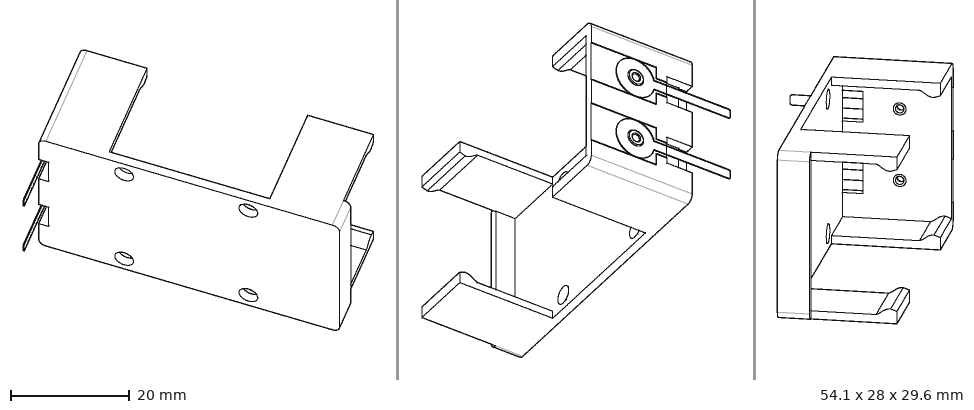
import cadquery as cq


LENGTH = 54.15
EYELET_PROUD = 0.2
DEPTH = 20.25
HEIGHT = 29.55
CORNER_RADIUS = 1.3
SIDE_WALL = 1.45
MOUNTING_WALL = 1.6
CONTACT_WALL = 1.6
LOW_END_DEPTH = 5.5
CUTOUT_START = 12.3
CUTOUT_END = 41.05
OUTER_X = EYELET_PROUD
INNER_X = OUTER_X + CONTACT_WALL
ARM_END_X = LENGTH - CORNER_RADIUS

LIP_EDGE = 2.2
LIP_CREST = 2.6
LIP_LEAD_IN = 1.1
LIP_LENGTH = 3.6
LIP_CREST_TANGENT = (-1, 0)
LIP_FOOT_TANGENT = (-1, 0.3)

MOUNT_HOLE_DIAMETER = 3.35
MOUNT_HOLE_XS = (15.55, 37.8)
MOUNT_HOLE_Z = 11.9

CONTACT_Z = 6.35
CONTACT_THICKNESS = 0.15
DISC_RADIUS = 3.85
DISC_Y = 11.35
TAIL_WIDTH = 1.85
TAIL_REACH = 7.7
TAIL_CORNER = 0.45
EYELET_RADIUS = 1.55
EYELET_EDGE = 0.15
BARREL_RADIUS = 1.1
BORE_RADIUS = 0.7

SEAT_END_Y = 7.2
NECK_WIDTH = 3.1
SLOT_WIDTH = 5.4
SLOT_DEPTH_X = 1.8
SLOT_END_Y = 5.1


def box_between(x_range, y_range, z_range):
    """Box spanning the three (low, high) ranges."""
    sizes = [high - low for low, high in (x_range, y_range, z_range)]
    corner = (x_range[0], y_range[0], z_range[0])
    return cq.Workplane("XY").box(*sizes, centered=False).translate(corner)


def band(x_range, y_range, width, z):
    """Box of the given width, centred on height z."""
    return box_between(x_range, y_range, (z - width / 2, z + width / 2))


def rod(radius, x_start, x_end, z):
    """Cylinder along X on a contact axis."""
    plane = cq.Plane(origin=(x_start, DISC_Y, z), xDir=(0, 1, 0), normal=(1, 0, 0))
    return cq.Workplane(plane).circle(radius).extrude(x_end - x_start)


def make_lip():
    """Lip that hooks inwards from the top wall, along the whole holder."""
    wall_z = HEIGHT / 2 - SIDE_WALL
    edge_z = HEIGHT / 2 - LIP_EDGE
    crest_z = HEIGHT / 2 - LIP_CREST
    crest_y = DEPTH - LIP_LEAD_IN
    foot_y = DEPTH - LIP_LENGTH
    return (
        cq.Workplane("YZ", origin=(INNER_X, 0, 0))
        .moveTo(DEPTH, wall_z)
        .lineTo(DEPTH, edge_z)
        .lineTo(crest_y, crest_z)
        .spline([(foot_y, wall_z)], tangents=[LIP_CREST_TANGENT, LIP_FOOT_TANGENT], includeCurrent=True)
        .close()
        .extrude(ARM_END_X - INNER_X)
    )


def make_housing():
    body = box_between((OUTER_X, LENGTH), (0, DEPTH), (-HEIGHT / 2, HEIGHT / 2))
    body = body.edges("|Y").fillet(CORNER_RADIUS)

    full_z = (-HEIGHT / 2, HEIGHT / 2)
    bay_z = (-HEIGHT / 2 + SIDE_WALL, HEIGHT / 2 - SIDE_WALL)
    body = body.cut(box_between((INNER_X, LENGTH - SIDE_WALL), (MOUNTING_WALL, DEPTH), bay_z))
    body = body.cut(box_between((INNER_X, LENGTH), (LOW_END_DEPTH, DEPTH), bay_z))
    body = body.cut(box_between((ARM_END_X, LENGTH), (LOW_END_DEPTH, DEPTH), full_z))

    lip = make_lip()
    body = body.union(lip).union(lip.mirror("XY"))

    body = body.cut(box_between((CUTOUT_START, CUTOUT_END), (MOUNTING_WALL, DEPTH), full_z))

    mount_holes = (
        cq.Workplane("XZ")
        .pushPoints([(x, z) for x in MOUNT_HOLE_XS for z in (-MOUNT_HOLE_Z, MOUNT_HOLE_Z)])
        .circle(MOUNT_HOLE_DIAMETER / 2)
        .extrude(-MOUNTING_WALL)
    )
    body = body.cut(mount_holes)

    for z in (-CONTACT_Z, CONTACT_Z):
        body = body.cut(make_contact_seat(z))
    return body


def make_contact_seat(z):
    """Flush seat for the contact, slot round its tail and hole for its eyelet."""
    seat_x = (OUTER_X, OUTER_X + CONTACT_THICKNESS)
    seat = band(seat_x, (SEAT_END_Y, DEPTH), 2 * DISC_RADIUS, z)
    neck = band(seat_x, (SLOT_END_Y, SEAT_END_Y), NECK_WIDTH, z)
    slot = band((OUTER_X, OUTER_X + SLOT_DEPTH_X), (0, SLOT_END_Y), SLOT_WIDTH, z)
    return seat.union(neck).union(slot).union(rod(BARREL_RADIUS, OUTER_X, INNER_X, z))


def make_contact(z):
    """Disc with a solder tail and a hollow eyelet through the wall."""
    disc_back = OUTER_X + CONTACT_THICKNESS
    disc = rod(DISC_RADIUS, OUTER_X, disc_back, z)
    tail = band((OUTER_X, disc_back), (-TAIL_REACH, DISC_Y), TAIL_WIDTH, z)
    tail = tail.edges("|X and <Y").fillet(TAIL_CORNER)
    flange = rod(EYELET_RADIUS, 0, disc_back, z)
    barrel = rod(BARREL_RADIUS, OUTER_X, INNER_X, z)
    bore = rod(BORE_RADIUS, 0, INNER_X, z)
    eyelet = flange.union(barrel).cut(bore).faces("<X").chamfer(EYELET_EDGE)
    return disc.union(tail).cut(bore).union(eyelet)


housing = make_housing()
contacts = [make_contact(z) for z in (-CONTACT_Z, CONTACT_Z)]

result = cq.Compound.makeCompound([housing.val(), *[contact.val() for contact in contacts]])